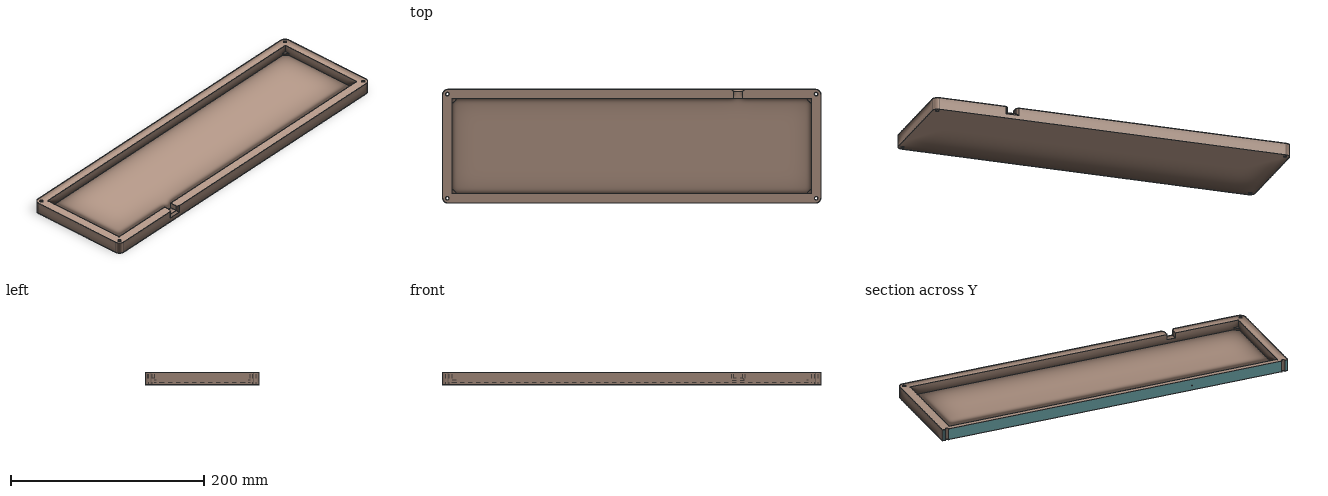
import cadquery as cq

length = 391.5
width = 118.0
height = 13.0
corner_radius = 6.0
wall = 9.8
floor_thickness = 2.7

hole_diameter = 3.4
hole_inset = 5.0
post_radius = 10.5
post_height = 2.5

notch_x = 110.0
notch_width = 9.5
notch_depth = 6.0
notch_chamfer = 2.5

hole_spacing_x = length - 2 * hole_inset
hole_spacing_y = width - 2 * hole_inset


def at_corners(z):
    """Workplane at height z with a point on each screw axis."""
    plane = cq.Workplane("XY", origin=(0, 0, z))
    return plane.rect(hole_spacing_x, hole_spacing_y, forConstruction=True).vertices()


def make_block():
    block = cq.Workplane("XY").box(length, width, height, centered=(True, True, False))
    return block.edges("|Z").fillet(corner_radius)


def make_pocket():
    """Rectangular pocket that leaves the lower part of each corner post standing."""
    pocket = (
        cq.Workplane("XY", origin=(0, 0, floor_thickness))
        .rect(length - 2 * wall, width - 2 * wall)
        .extrude(height - floor_thickness)
    )
    return pocket.cut(at_corners(floor_thickness).circle(post_radius).extrude(post_height))


def notch_section(y, margin):
    """Notch cross-section at y, widened and deepened by margin and mirrored above the rim."""
    return (
        cq.Workplane("XZ", origin=(notch_x, y, height))
        .rect(notch_width + 2 * margin, 2 * (notch_depth + margin))
    )


def make_notch():
    """Open-topped cutter with a chamfer around its mouth on the outer face."""
    outer_y = width / 2
    slot = notch_section(outer_y, 0).extrude(wall)
    mouth = (
        notch_section(outer_y, notch_chamfer)
        .workplane(offset=notch_chamfer)
        .rect(notch_width, 2 * notch_depth)
        .loft()
    )
    return slot.union(mouth)


screw_holes = at_corners(0).circle(hole_diameter / 2).extrude(height)
result = make_block().cut(make_pocket()).cut(make_notch()).cut(screw_holes)